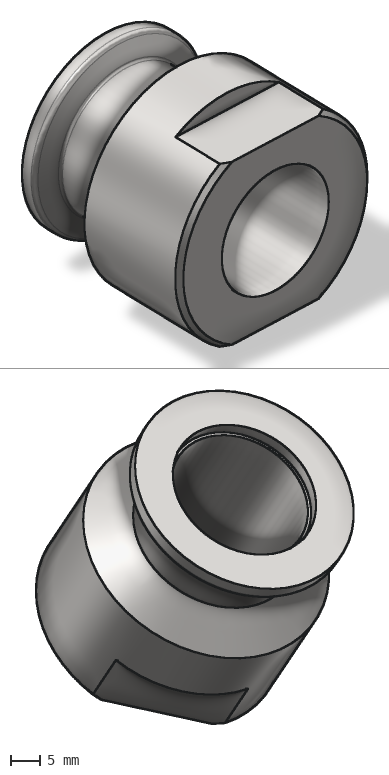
import cadquery as cq
import math

body_diameter = 45.0
flange_diameter = 40.0
neck_diameter = 30.0
bore_diameter = 25.0
recess_diameter = 26.2

total_length = 42.0
rim_length = 2.3
neck_end = 14.05
body_start = 18.3
recess_depth = 2.4

flange_taper = 15.0
rim_radius = 1.0
neck_fillet = 0.6
end_chamfer = 1.0

flat_length = 12.0
across_flats = 38.0

body_radius = body_diameter / 2
flange_radius = flange_diameter / 2
neck_radius = neck_diameter / 2

rim_corner = rim_length + rim_radius * math.tan(math.radians(90 - flange_taper) / 2)
taper_run = (flange_radius - neck_radius) * math.tan(math.radians(flange_taper))
neck_start = rim_corner + taper_run


def round_edge(solid, x, radius, size):
    """Round the circular edge at the given position along X and radius."""
    tolerance = 0.005
    corner = cq.selectors.BoxSelector(
        (x - tolerance, -radius - 0.45, -radius - 0.45),
        (x + tolerance, radius + 0.45, radius + 0.45),
        boundingbox=True,
    )
    return solid.edges("%CIRCLE").edges(corner).fillet(size)


def make_turned_body():
    profile = (
        cq.Workplane("XY")
        .moveTo(0, 0)
        .lineTo(0, flange_radius)
        .lineTo(rim_corner, flange_radius)
        .lineTo(neck_start, neck_radius)
        .lineTo(neck_end, neck_radius)
        .lineTo(body_start, body_radius)
        .lineTo(total_length - end_chamfer, body_radius)
        .lineTo(total_length, body_radius - end_chamfer)
        .lineTo(total_length, 0)
        .close()
    )
    body = profile.revolve(360, (0, 0, 0), (1, 0, 0))
    body = round_edge(body, rim_corner, flange_radius, rim_radius)
    return round_edge(body, neck_start, neck_radius, neck_fillet)


def cut_wrench_flats(body):
    """Cut one flat on the top and one on the bottom of the +X end."""
    flat_depth = body_radius - across_flats / 2
    cutter = cq.Workplane("XY").box(flat_length, body_diameter, flat_depth)
    for side in (1, -1):
        center_z = side * (body_radius - flat_depth / 2)
        body = body.cut(cutter.translate((total_length - flat_length / 2, 0, center_z)))
    return body


def cut_bore(body):
    """Cut the through bore and the shallow seal recess in the flange face."""
    bore = cq.Workplane("YZ").circle(bore_diameter / 2).extrude(total_length)
    recess = cq.Workplane("YZ").circle(recess_diameter / 2).extrude(recess_depth)
    return body.cut(bore).cut(recess)


result = cut_bore(cut_wrench_flats(make_turned_body()))